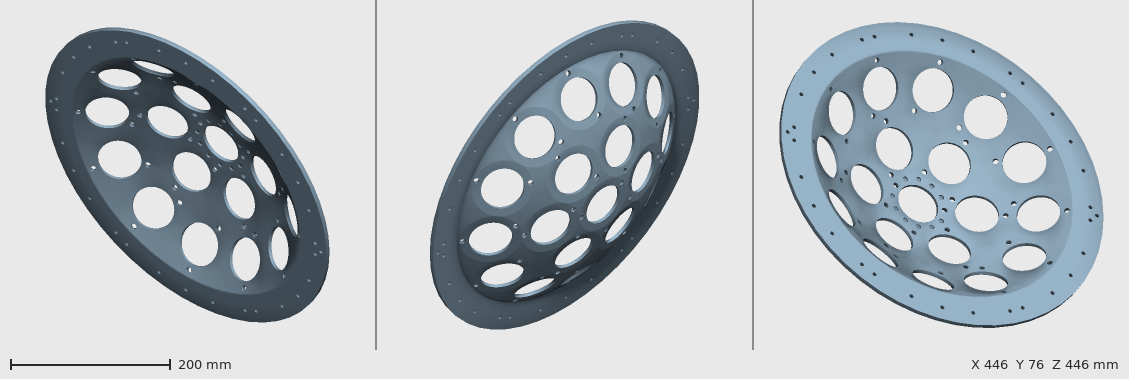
import cadquery as cq
import math

flange_diameter = 446.0
flange_radius = flange_diameter / 2
flange_thickness = 6.2

overall_depth = 76.0
sphere_centre_y = -188.5
seat_distance = overall_depth - sphere_centre_y
seat_radius = 39.0
outer_radius = math.hypot(seat_distance, seat_radius)
shell_thickness = 6.0
inner_radius = outer_radius - shell_thickness
mouth_radius = math.sqrt(inner_radius**2 - sphere_centre_y**2)
mouth_fillet = 2.5

window_rings = [(0.0, 1), (17.0, 6), (34.0, 12)]
window_radius = 27.5
seat_clearance = 1.5

screw_circle_radius = 36.0
screw_hole_radius = 3.5
screw_angles = [0.0, 150.0]
blind_hole_count = 12
blind_hole_floor = 3.5

flange_hole_radius = 2.5
bolt_circle_radius = 205.0
bolt_group_count = 6
group_pitch = 360.0 / bolt_group_count
pair_offsets = [-2.8, 2.8]
triple_offsets = [-12.0, 0.0, 12.0]
dowel_circle_radius = 214.0

selection_margin = 0.5


def sphere(radius):
    """Sphere about the dome centre."""
    return cq.Workplane("XY").sphere(radius).translate((0, sphere_centre_y, 0))


def rods(points, radius, start_y, end_y):
    """Cylinders along +Y at the given (x, z) points."""
    plane = cq.Workplane("XZ", origin=(0, start_y, 0))
    return plane.pushPoints(points).circle(radius).extrude(start_y - end_y)


def disc(radius, start_y, end_y):
    """Cylinder along +Y on the part axis."""
    return rods([(0, 0)], radius, start_y, end_y)


def polar(radius, angle):
    """Point (x, z) at an angle in degrees from +X towards +Z."""
    return radius * math.cos(math.radians(angle)), radius * math.sin(math.radians(angle))


def make_window_tool():
    """Cutter for a window, its flat outer seat and its two screw holes, on the dome axis."""
    tool_end = overall_depth + seat_radius
    seat = disc(seat_radius + seat_clearance, overall_depth, tool_end)
    window = disc(window_radius, 0, tool_end)
    screw_points = [polar(screw_circle_radius, angle) for angle in screw_angles]
    screws = rods(screw_points, screw_hole_radius, 0, tool_end)
    return seat.union(window).union(screws)


def swing(tool, tilt, azimuth):
    """Tilt a tool about the dome centre towards +X, then turn it about the dome axis towards +Z."""
    centre = (0, sphere_centre_y, 0)
    tilted = tool.rotate(centre, (0, sphere_centre_y, 1), -tilt)
    return tilted.rotate(centre, (0, sphere_centre_y + 4.5, 0), -azimuth)


def flange_hole_points():
    """Bolt holes in pairs and triples, and two dowel holes on the X axis."""
    points = [(-dowel_circle_radius, 0), (dowel_circle_radius, 0)]
    for group in range(bolt_group_count):
        pair_angle = group * group_pitch
        triple_angle = pair_angle + group_pitch / 2
        for offset in pair_offsets:
            points.append(polar(bolt_circle_radius, pair_angle + offset))
        for offset in triple_offsets:
            points.append(polar(bolt_circle_radius, triple_angle + offset))
    return points


dome = sphere(outer_radius).intersect(disc(flange_radius, 0, overall_depth))
flange = disc(flange_radius, 0, flange_thickness)
body = dome.union(flange).cut(sphere(inner_radius))

mouth_reach = mouth_radius + selection_margin
mouth_edge = cq.selectors.BoxSelector(
    (-mouth_reach, -selection_margin, -mouth_reach),
    (mouth_reach, selection_margin, mouth_reach),
    boundingbox=True,
)
body = body.edges(mouth_edge).fillet(mouth_fillet)

window_tool = make_window_tool()
for tilt, count in window_rings:
    for index in range(count):
        body = body.cut(swing(window_tool, tilt, index * 360.0 / count))

blind_pitch = 360.0 / blind_hole_count
blind_points = [polar(screw_circle_radius, index * blind_pitch) for index in range(blind_hole_count)]
body = body.cut(rods(blind_points, screw_hole_radius, 0, overall_depth - blind_hole_floor))

body = body.cut(rods(flange_hole_points(), flange_hole_radius, 0, flange_thickness))

result = body